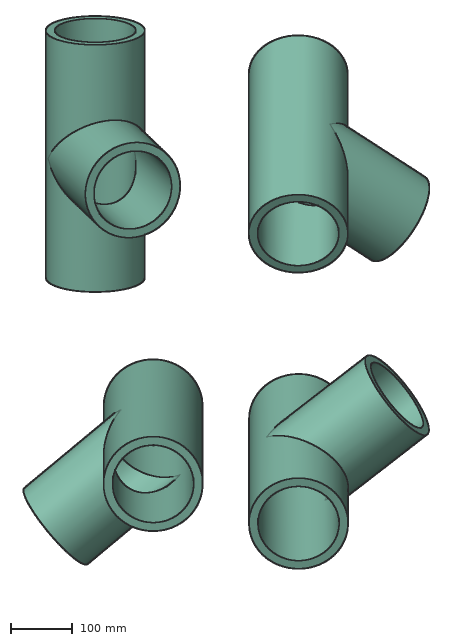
import cadquery as cq

run_length = 417.0
outer_diameter = 160.0
wall = 14.5
branch_reach = 208.0

bore_diameter = outer_diameter - 2 * wall


def tee_cylinders(diameter):
    """Union of the run and branch cylinders, with their axes meeting at the origin."""
    run = cq.Workplane("XY").circle(diameter / 2).extrude(run_length / 2, both=True)
    branch = cq.Workplane("YZ").circle(diameter / 2).extrude(branch_reach)
    return run.union(branch)


result = tee_cylinders(outer_diameter).cut(tee_cylinders(bore_diameter))